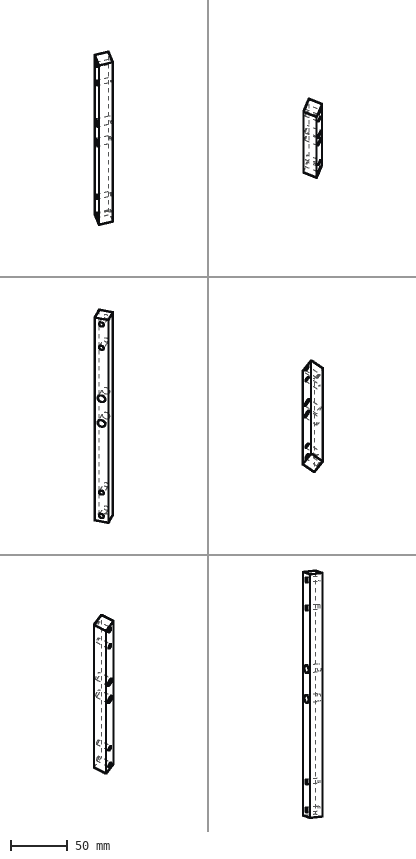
import cadquery as cq

bar_length = 220.0
bar_side = 12.8

small_hole_diameter = 4.5
outer_hole_inset = 6.2
small_hole_spacing = 25.3

large_hole_diameter = 7.0
large_hole_spacing = 26.8
large_pair_offset = 10.0

outer_hole_z = bar_length / 2 - outer_hole_inset
inner_hole_z = outer_hole_z - small_hole_spacing
small_hole_heights = [-outer_hole_z, -inner_hole_z, inner_hole_z, outer_hole_z]
large_hole_heights = [
    large_pair_offset - large_hole_spacing / 2,
    large_pair_offset + large_hole_spacing / 2,
]


def cross_holes(diameter, heights):
    """Cylinders along Y that pass right through the bar at the given heights."""
    centres = [(0, height) for height in heights]
    return (
        cq.Workplane("XZ")
        .pushPoints(centres)
        .circle(diameter / 2)
        .extrude(bar_side, both=True)
    )


bar = cq.Workplane("XY").box(bar_side, bar_side, bar_length)
result = bar.cut(cross_holes(small_hole_diameter, small_hole_heights))
result = result.cut(cross_holes(large_hole_diameter, large_hole_heights))